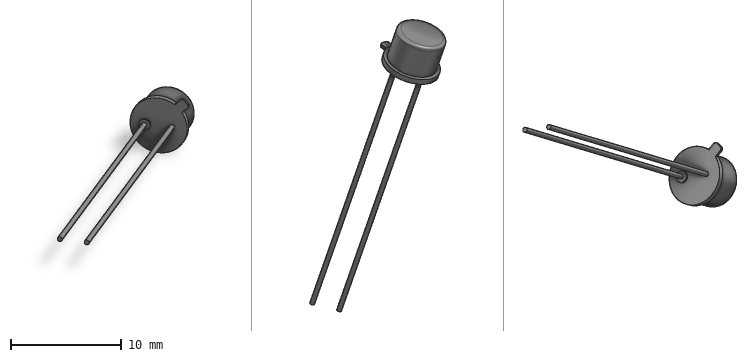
import cadquery as cq

total_length = 30.7
body_length = 3.75
lead_length = total_length - body_length

can_diameter = 4.67
can_edge_radius = 0.35

flange_diameter = 5.4
plate_thickness = 0.28
rim_thickness = 0.25

tab_angle = 45
tab_width = 1.0
tab_reach = 3.65
tab_corner_radius = 0.28

lead_spacing = 2.55
lead_diameter = 0.45
eyelet_diameter = 1.07
eyelet_height = 0.2


def cylinder(diameter, start_y, end_y, x=0.0):
    """Cylinder parallel to Y, between two Y positions."""
    base = cq.Workplane("XZ", origin=(x, start_y, 0))
    return base.circle(diameter / 2).extrude(start_y - end_y)


def make_can():
    can = cylinder(can_diameter, 0, body_length)
    return can.faces(">Y").edges().fillet(can_edge_radius)


def make_flange():
    return cylinder(flange_diameter, 0, plate_thickness + rim_thickness)


def make_tab():
    """Radial tab, built along +X and then turned to its angle toward +Z."""
    tab = (
        cq.Workplane("XZ")
        .center(tab_reach / 2, 0)
        .rect(tab_reach, tab_width)
        .extrude(-plate_thickness)
        .edges("|Y and >X")
        .fillet(tab_corner_radius)
    )
    return tab.rotate((0, 0, 0), (0, 1, 0), -tab_angle)


def make_leads():
    left, right = [
        cylinder(lead_diameter, 0, -lead_length, x)
        for x in (-lead_spacing / 2, lead_spacing / 2)
    ]
    eyelet = cylinder(eyelet_diameter, 0, -eyelet_height, -lead_spacing / 2)
    return left.union(right).union(eyelet)


result = make_can().union(make_flange()).union(make_tab()).union(make_leads())